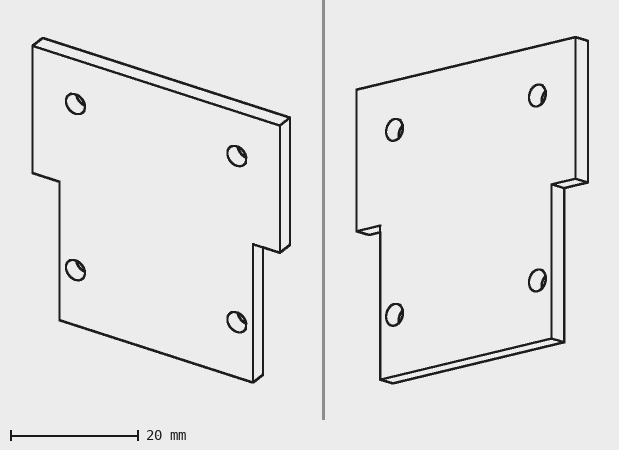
import cadquery as cq

height = 48.0
head_width = 46.0
thickness = 3.0

head_height = 23.0
body_width = 36.0
body_height = height - head_height

hole_diameter = 3.5
hole_spacing = 30.0
top_hole_inset = 8.0
hole_pattern_z = height / 2 - top_hole_inset - hole_spacing / 2


def plate_section(width, section_height, bottom_z):
    """Rectangular slab centred in X and Y, standing on bottom_z."""
    return (
        cq.Workplane("XY")
        .box(width, thickness, section_height, centered=(True, True, False))
        .translate((0, 0, bottom_z))
    )


body = plate_section(body_width, body_height, -height / 2)
head = plate_section(head_width, head_height, height / 2 - head_height)

holes = (
    cq.Workplane("XZ", origin=(0, thickness / 2, 0))
    .center(0, hole_pattern_z)
    .rarray(hole_spacing, hole_spacing, 2, 2)
    .circle(hole_diameter / 2)
    .extrude(thickness)
)

result = body.union(head).cut(holes)